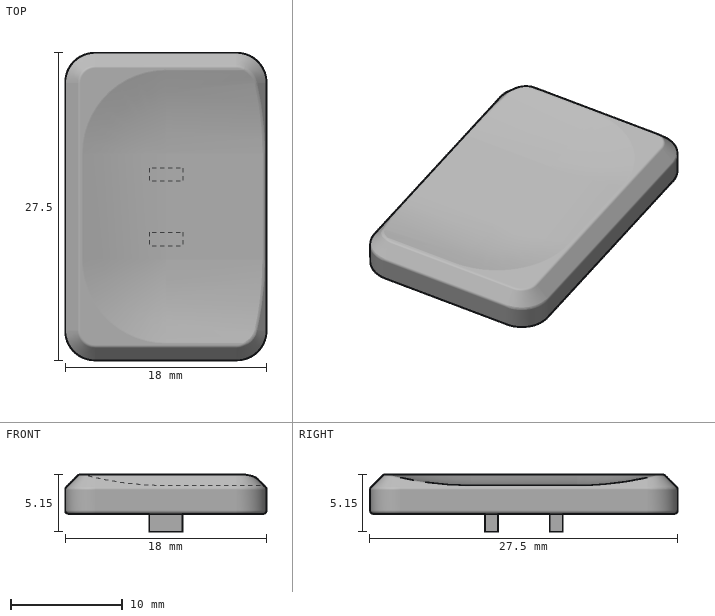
import cadquery as cq

width = 18.0
length = 27.5
body_height = 3.55
corner_radius = 2.7
bevel = 1.25
edge_round = 0.33

dish_end_radius = 7.45
dish_straight = 9.45
dish_depth = 1.0

leg_width = 3.0
leg_thickness = 1.18
leg_height = 1.6
leg_spacing = 5.78


def make_body():
    """Rounded block with a bevelled top; its underside is at Z = 0."""
    block = cq.Workplane("XY").rect(width, length).extrude(body_height)
    block = block.edges("|Z").fillet(corner_radius)
    return block.faces(">Z").chamfer(bevel)


def dish_profile(plane):
    """Half section of the dish: flat-tangent arc rising from its floor to the rim."""
    floor = body_height - dish_depth
    arc_radius = (dish_end_radius**2 + dish_depth**2) / (2 * dish_depth)
    middle_x = dish_end_radius / 2
    middle_z = floor + arc_radius - (arc_radius**2 - middle_x**2) ** 0.5
    return (
        cq.Workplane(plane)
        .moveTo(0, floor)
        .threePointArc((middle_x, middle_z), (dish_end_radius, body_height))
        .lineTo(0, body_height)
        .close()
    )


def make_dish():
    """Cutter with a curved -X side and rounded ends, level along X over its +X half."""
    half_straight = dish_straight / 2
    floor = body_height - dish_depth
    left_plane = cq.Plane(origin=(0, half_straight, 0), xDir=(-1, 0, 0), normal=(0, 1, 0))
    end_plane = cq.Plane(origin=(0, half_straight, 0), xDir=(0, 1, 0), normal=(1, 0, 0))

    dish = dish_profile(left_plane).extrude(-dish_straight)
    dish = dish.union(
        cq.Workplane("XY")
        .box(width, dish_straight, dish_depth, centered=(False, True, False))
        .translate((0, 0, floor))
    )
    end_bowl = dish_profile(end_plane).revolve(90, (0, 0, 0), (0, 1, 0))
    end_channel = dish_profile(end_plane).extrude(width)
    for end in (end_bowl, end_channel):
        dish = dish.union(end).union(end.mirror("XZ"))
    return dish


def make_legs():
    return (
        cq.Workplane("XY")
        .pushPoints([(0, -leg_spacing / 2), (0, leg_spacing / 2)])
        .rect(leg_width, leg_thickness)
        .extrude(-leg_height)
    )


def round_edges(body):
    """Round the underside, both borders of the bevel and the rim of the dish."""
    bevel_base = body_height - bevel
    margin = 0.03
    bevel_foot = cq.selectors.BoxSelector(
        (-width, -length, bevel_base - margin),
        (width, length, bevel_base + margin),
    )
    outlet_x = width / 2 - bevel + dish_depth
    outlet_z = body_height - dish_depth
    dish_outlet = cq.selectors.BoxSelector(
        (outlet_x - margin, -margin, outlet_z - margin),
        (outlet_x + margin, margin, outlet_z + margin),
    )
    outlet_ends = body.edges("%ELLIPSE or %BSPLINE")
    return (
        body.faces("<Z").edges()
        .add(body.faces(">Z").edges())
        .add(body.edges(bevel_foot))
        .add(body.edges(dish_outlet))
        .add(outlet_ends)
        .fillet(edge_round)
    )


body = make_body().cut(make_dish())
result = round_edges(body).union(make_legs())